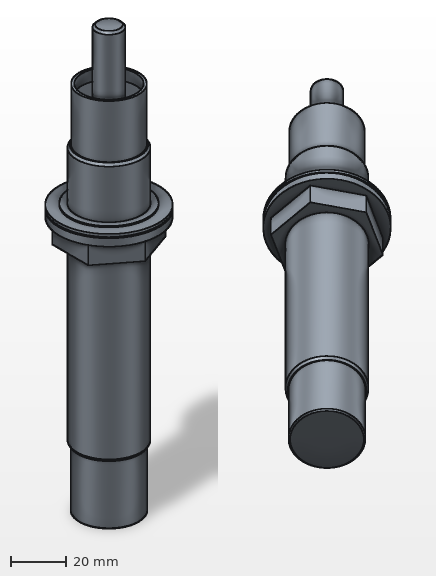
import cadquery as cq
import math

body_diameter = 30.0
base_diameter = 27.8
neck_diameter = 27.4
cup_bore_diameter = 25.0
base_height = 28.0
thread_top = 149.7
neck_top = 174.5
cup_depth = 5.0
thread_end_diameter = 28.4
thread_chamfer_height = 1.2
base_chamfer = 0.5

rod_diameter = 12.0
rod_top = 198.5
rod_chamfer = 1.0

nut_bottom = 110.5
hex_height = 9.5
hex_across_flats = 36.0
nut_bore_diameter = 30.2
flange_diameter = 46.0
flange_thickness = 3.8
flange_chamfer = 0.4
collar_diameter = 36.0
collar_rise = 0.5

washer_diameter = 46.0
washer_thickness = 1.4

flange_bottom = nut_bottom + hex_height
washer_bottom = flange_bottom + flange_thickness
washer_top = washer_bottom + washer_thickness
collar_top = washer_top + collar_rise
cup_floor = neck_top - cup_depth


def cylinder(diameter, bottom, top):
    """Upright cylinder on the Z axis between two heights."""
    return cq.Workplane("XY").workplane(offset=bottom).circle(diameter / 2).extrude(top - bottom)


def make_barrel():
    """Main cylinder, tapered at both ends by steep chamfers."""
    end_radius = thread_end_diameter / 2
    radius = body_diameter / 2
    return (
        cq.Workplane("XZ")
        .moveTo(0, base_height)
        .lineTo(end_radius, base_height)
        .lineTo(radius, base_height + thread_chamfer_height)
        .lineTo(radius, thread_top - thread_chamfer_height)
        .lineTo(end_radius, thread_top)
        .lineTo(0, thread_top)
        .close()
        .revolve(360, (0, 0, 0), (0, 1, 0))
    )


def make_body():
    """Threaded barrel with a plain base and a neck that ends in an open cup."""
    base = cylinder(base_diameter, 0, base_height).faces("<Z").chamfer(base_chamfer)
    barrel = make_barrel()
    neck = cylinder(neck_diameter, thread_top, neck_top)
    cup = cylinder(cup_bore_diameter, cup_floor, neck_top)
    return base.union(barrel).union(neck).cut(cup)


def make_rod():
    """Plain rod with a chamfered tip."""
    return cylinder(rod_diameter, cup_floor, rod_top).faces(">Z").chamfer(rod_chamfer)


def make_nut():
    """Hexagon with a round flange and a raised locating collar."""
    across_corners = hex_across_flats / math.cos(math.pi / 6)
    hexagon = (
        cq.Workplane("XY")
        .workplane(offset=nut_bottom)
        .transformed(rotate=(0, 0, 90))
        .polygon(6, across_corners)
        .extrude(hex_height)
    )
    flange = cylinder(flange_diameter, flange_bottom, washer_bottom).faces(">Z").chamfer(flange_chamfer)
    collar = cylinder(collar_diameter, washer_bottom, collar_top)
    bore = cylinder(nut_bore_diameter, nut_bottom, collar_top)
    return hexagon.union(flange).union(collar).cut(bore)


def make_washer():
    """Flat ring that fits around the collar of the nut."""
    ring = cylinder(washer_diameter, washer_bottom, washer_top)
    return ring.cut(cylinder(collar_diameter, washer_bottom, washer_top))


body = make_body()
rod = make_rod()
nut = make_nut()
washer = make_washer()

result = cq.Compound.makeCompound([body.val(), rod.val(), nut.val(), washer.val()])